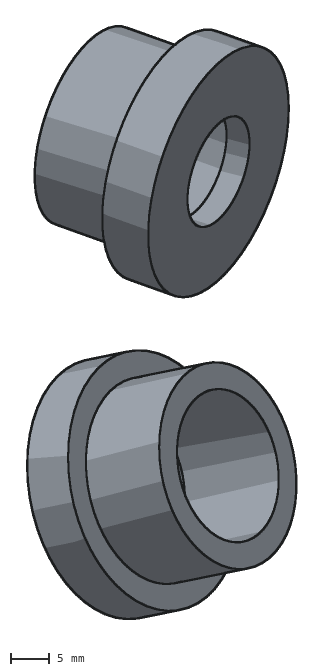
import cadquery as cq

flange_diameter = 34.0
body_diameter = 27.0
bore_diameter = 20.0
outlet_diameter = 15.0

total_length = 19.5
flange_thickness = 7.0
lip_thickness = flange_thickness / 2
bore_depth = total_length - lip_thickness


def cylinder(diameter, start, length):
    """Solid cylinder along +X, beginning at X = start."""
    return cq.Workplane("YZ", origin=(start, 0, 0)).circle(diameter / 2).extrude(length)


body = cylinder(body_diameter, 0, total_length)
flange = cylinder(flange_diameter, total_length - flange_thickness, flange_thickness)

bore = cylinder(bore_diameter, 0, bore_depth)
outlet = cylinder(outlet_diameter, 0, total_length)

result = body.union(flange).cut(bore).cut(outlet)